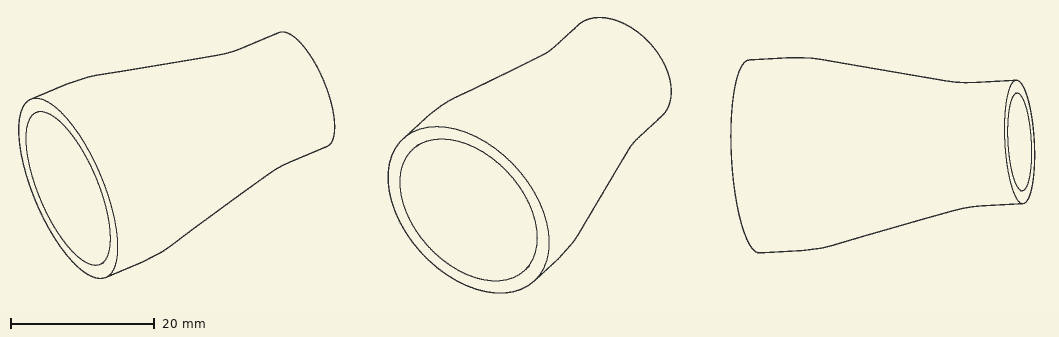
import cadquery as cq
import math

length = 38.0
wide_outer_diameter = 26.9
wide_bore_diameter = 22.9
narrow_outer_diameter = 17.2
narrow_bore_diameter = 13.6
collar_length = 6.0
outer_bend_radius = 19.0

wide_bend_center = (wide_outer_diameter / 2 - outer_bend_radius, collar_length)
narrow_bend_center = (narrow_outer_diameter / 2 + outer_bend_radius, length - collar_length)


def reducer_solid(wide_diameter, narrow_diameter):
    """Solid of revolution: cylinder, arc, tangent cone, arc, cylinder."""
    wide_radius = wide_diameter / 2
    narrow_radius = narrow_diameter / 2
    wide_x, wide_y = wide_bend_center
    narrow_x, narrow_y = narrow_bend_center
    wide_bend_radius = wide_radius - wide_x
    narrow_bend_radius = narrow_x - narrow_radius

    center_distance = math.hypot(narrow_x - wide_x, narrow_y - wide_y)
    center_angle = math.atan2(narrow_y - wide_y, narrow_x - wide_x)
    cone_angle = center_angle - math.acos((wide_bend_radius + narrow_bend_radius) / center_distance)

    def wide_arc_point(angle):
        return (wide_x + wide_bend_radius * math.cos(angle), wide_y + wide_bend_radius * math.sin(angle))

    def narrow_arc_point(angle):
        return (
            narrow_x - narrow_bend_radius * math.cos(angle),
            narrow_y - narrow_bend_radius * math.sin(angle),
        )

    return (
        cq.Workplane("XY")
        .lineTo(wide_radius, 0)
        .lineTo(wide_radius, wide_y)
        .threePointArc(wide_arc_point(cone_angle / 2), wide_arc_point(cone_angle))
        .lineTo(*narrow_arc_point(cone_angle))
        .threePointArc(narrow_arc_point(cone_angle / 2), (narrow_radius, narrow_y))
        .lineTo(narrow_radius, length)
        .lineTo(0, length)
        .close()
        .revolve(360, (0, 0, 0), (0, 1, 0))
    )


body = reducer_solid(wide_outer_diameter, narrow_outer_diameter)
bore = reducer_solid(wide_bore_diameter, narrow_bore_diameter)
result = body.cut(bore)